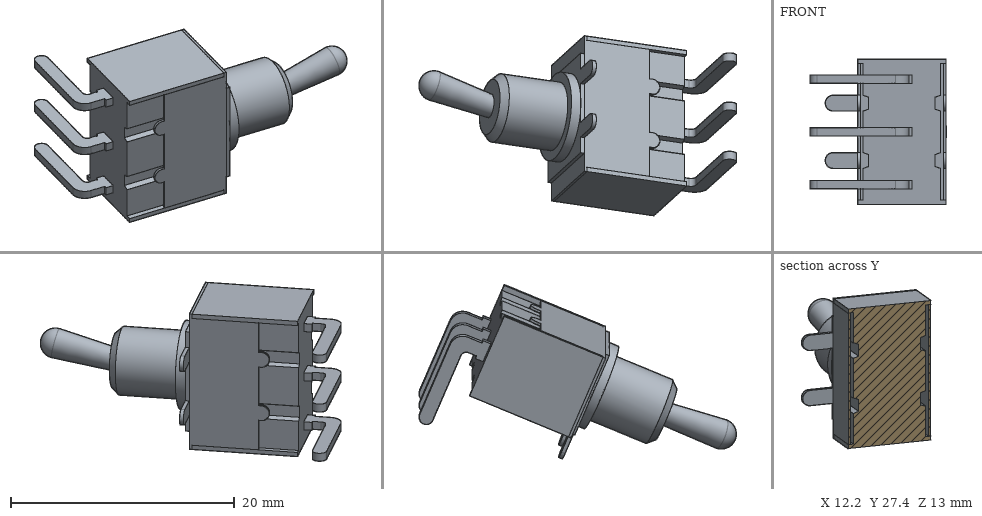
import cadquery as cq
import math


BASE_WIDTH = 7.92
BASE_HEIGHT = 13.0
BASE_LENGTH = 9.6
LIP_HEIGHT = 0.4
SIDE_RECESS = 0.5
GROOVE_DEPTH = 0.5
GROOVE_FLOOR_WIDTH = 1.07

SHEET = 0.25
SKIRT_REAR_Y = 3.55
TONGUE_SPACING = 5.12
TONGUE_WIDTH = 1.42
TONGUE_LENGTH = 1.0

BRACKET_THICKNESS = 0.35
BRACKET_WIDTH = 7.9
BRACKET_HEIGHT = 9.54
PRONG_TIP_X = -6.85

FLANGE_DIAMETER = 8.0
FLANGE_THICKNESS = 0.9
BUSHING_DIAMETER = 6.2
BUSHING_LENGTH = 6.27
BUSHING_CHAMFER = 0.65
BUSHING_FACE_DIAMETER = 5.0

OVERALL_LENGTH = 27.4
LEVER_TILT = 12.2
LEVER_LENGTH = 5.95
LEVER_ROOT_DIAMETER = 2.05
LEVER_BALL_DIAMETER = 2.7

TERMINAL_PITCH = 4.7
TERMINAL_THICKNESS = 0.77
TERMINAL_REACH = 3.32
TERMINAL_TIP_X = -8.22
LEG_WIDTH = 1.3
SHOULDER_WIDTH = 1.78
SHOULDER_LENGTH = 0.75
BEND_INNER_RADIUS = 0.5
BEND_OUTER_RADIUS = 1.2
TERMINAL_COUNT = 3

PLATE_FRONT_Y = BASE_LENGTH + SHEET
BRACKET_FRONT_Y = PLATE_FRONT_Y + BRACKET_THICKNESS
FLANGE_FRONT_Y = BRACKET_FRONT_Y + FLANGE_THICKNESS
BUSHING_FRONT_Y = FLANGE_FRONT_Y + BUSHING_LENGTH
LEVER_TIP_Y = OVERALL_LENGTH - TERMINAL_REACH

RECESS_HEIGHT = BASE_HEIGHT - 2 * LIP_HEIGHT
TONGUE_HEIGHTS = (-TONGUE_SPACING / 2, TONGUE_SPACING / 2)


def block(x_range, y_range, z_center, height):
    """Box between two X and two Y limits, centred at a height."""
    width = x_range[1] - x_range[0]
    length = y_range[1] - y_range[0]
    center = (sum(x_range) / 2, sum(y_range) / 2, z_center)
    return cq.Workplane("XY").box(width, length, height).translate(center)


def make_base():
    """I-shaped block with two trapezoidal grooves along each side."""
    half_web = BASE_WIDTH / 2 - SIDE_RECESS
    base = block((-BASE_WIDTH / 2, BASE_WIDTH / 2), (0, BASE_LENGTH), 0, BASE_HEIGHT)
    for side in (-1, 1):
        mouth_x = side * half_web
        floor_x = side * (half_web - GROOVE_DEPTH)
        recess_x = sorted((mouth_x, side * BASE_WIDTH / 2))
        base = base.cut(block(recess_x, (0, BASE_LENGTH), 0, RECESS_HEIGHT))
        for z in TONGUE_HEIGHTS:
            groove = (
                cq.Workplane("XZ")
                .polyline([
                    (mouth_x, z - TONGUE_WIDTH / 2),
                    (floor_x, z - GROOVE_FLOOR_WIDTH / 2),
                    (floor_x, z + GROOVE_FLOOR_WIDTH / 2),
                    (mouth_x, z + TONGUE_WIDTH / 2),
                ])
                .close()
                .extrude(-BASE_LENGTH)
            )
            base = base.cut(groove)
    return base


def make_skirt():
    """Side sheet of the frame with two round-ended tongues at its rear edge."""
    skirt = block((0, SHEET), (SKIRT_REAR_Y, BASE_LENGTH), 0, RECESS_HEIGHT)
    radius = TONGUE_WIDTH / 2
    tongue_center_y = SKIRT_REAR_Y - TONGUE_LENGTH + radius
    for z in TONGUE_HEIGHTS:
        tongue = (
            cq.Workplane("YZ")
            .moveTo(SKIRT_REAR_Y, z - radius)
            .lineTo(tongue_center_y, z - radius)
            .threePointArc((tongue_center_y - radius, z), (tongue_center_y, z + radius))
            .lineTo(SKIRT_REAR_Y, z + radius)
            .close()
            .extrude(SHEET)
        )
        skirt = skirt.union(tongue)
    return skirt


def make_bracket():
    """Plate between the frame and the flange, with two round-ended prongs."""
    half_width = BRACKET_WIDTH / 2
    bracket = block((-half_width, half_width), (PLATE_FRONT_Y, BRACKET_FRONT_Y), 0, BRACKET_HEIGHT)
    radius = TONGUE_WIDTH / 2
    prong_center_x = PRONG_TIP_X + radius
    for z in TONGUE_HEIGHTS:
        prong = (
            cq.Workplane("XZ", origin=(0, PLATE_FRONT_Y, 0))
            .moveTo(-half_width, z - radius)
            .lineTo(prong_center_x, z - radius)
            .threePointArc((PRONG_TIP_X, z), (prong_center_x, z + radius))
            .lineTo(-half_width, z + radius)
            .close()
            .extrude(-BRACKET_THICKNESS)
        )
        bracket = bracket.union(prong)
    return bracket


def make_bushing():
    """Flanged barrel with a conical front edge."""
    profile = [
        (0, BRACKET_FRONT_Y),
        (FLANGE_DIAMETER / 2, BRACKET_FRONT_Y),
        (FLANGE_DIAMETER / 2, FLANGE_FRONT_Y),
        (BUSHING_DIAMETER / 2, FLANGE_FRONT_Y),
        (BUSHING_DIAMETER / 2, BUSHING_FRONT_Y - BUSHING_CHAMFER),
        (BUSHING_FACE_DIAMETER / 2, BUSHING_FRONT_Y),
        (0, BUSHING_FRONT_Y),
    ]
    return cq.Workplane("XY").polyline(profile).close().revolve(360, (0, 0), (0, 1))


def make_lever():
    """Tapered stick with a hemispherical end, tilted up about its root on the bushing axis."""
    ball_radius = LEVER_BALL_DIAMETER / 2
    lever = (
        cq.Workplane("XY")
        .lineTo(LEVER_ROOT_DIAMETER / 2, 0)
        .lineTo(ball_radius, LEVER_LENGTH)
        .radiusArc((0, LEVER_LENGTH + ball_radius), -ball_radius)
        .close()
        .revolve(360, (0, 0), (0, 1))
    )
    ball_center_y = LEVER_TIP_Y - ball_radius
    root_y = ball_center_y - LEVER_LENGTH * math.cos(math.radians(LEVER_TILT))
    return lever.rotate((0, 0, 0), (1, 0, 0), LEVER_TILT).translate((0, root_y, 0))


def make_frame(lever):
    """Frame, bracket and bushing in one piece, with a socket that fits the lever root."""
    half_width = BASE_WIDTH / 2
    frame = block((-half_width, half_width), (BASE_LENGTH, PLATE_FRONT_Y), 0, BASE_HEIGHT)
    skirt = make_skirt()
    for x in (-half_width, half_width - SHEET):
        frame = frame.union(skirt.translate((x, 0, 0)))
    return frame.union(make_bracket()).union(make_bushing()).cut(lever)


def make_terminal(z):
    """Shouldered flat pin bent toward -X, with a round tip."""
    half = LEG_WIDTH / 2
    bottom_z = z - TERMINAL_THICKNESS / 2
    tip_y = half - TERMINAL_REACH
    leg = (
        cq.Workplane("XY", origin=(0, 0, bottom_z))
        .moveTo(-half, 0)
        .lineTo(-half, LEG_WIDTH - TERMINAL_REACH)
        .lineTo(TERMINAL_TIP_X + half, LEG_WIDTH - TERMINAL_REACH)
        .threePointArc((TERMINAL_TIP_X, tip_y), (TERMINAL_TIP_X + half, -TERMINAL_REACH))
        .lineTo(half, -TERMINAL_REACH)
        .lineTo(half, 0)
        .close()
        .extrude(TERMINAL_THICKNESS)
    )
    inner_corner = cq.NearestToPointSelector((-half, LEG_WIDTH - TERMINAL_REACH, z))
    leg = leg.edges("|Z").edges(inner_corner).fillet(BEND_INNER_RADIUS)
    outer_corner = cq.NearestToPointSelector((half, -TERMINAL_REACH, z))
    leg = leg.edges("|Z").edges(outer_corner).fillet(BEND_OUTER_RADIUS)
    shoulder_x = (-SHOULDER_WIDTH / 2, SHOULDER_WIDTH / 2)
    return leg.union(block(shoulder_x, (-SHOULDER_LENGTH, 0), z, TERMINAL_THICKNESS))


base = make_base()
lever = make_lever()
frame = make_frame(lever)
terminals = [
    make_terminal((index - (TERMINAL_COUNT - 1) / 2) * TERMINAL_PITCH)
    for index in range(TERMINAL_COUNT)
]

result = cq.Compound.makeCompound([
    base.val(),
    frame.val(),
    lever.val(),
    *[terminal.val() for terminal in terminals],
])